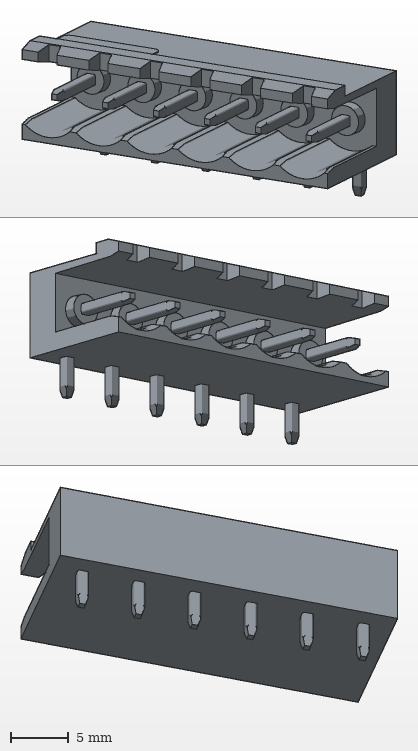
import cadquery as cq

pole_count = 6
housing_length = 30.48
pitch = housing_length / pole_count

housing_depth = 12.0
roof_height = 7.6
lip_height = 8.55
floor_height = 1.65
back_wall_front = 8.53
ceiling_back_height = 6.9
ceiling_front_height = 6.98

lip_depth = 3.05
lip_top_bevel = 1.37
lip_front_top = 8.1
lip_front_bottom = 7.22
front_bevel = 1.07
floor_front_height = 1.37

groove_radius = 3.4
groove_back_bottom = 0.88
groove_front_bottom = 0.55

notch_depth = 1.25
notch_back_width = 1.15
notch_front_width = 1.9

collar_base_radius = 1.4
collar_end_radius = 1.35
collar_length = 1.05

plate_start_x = 0.27
plate_start_y = 3.47
plate_length = 9.5
plate_width = 3.7
plate_corner_radius = 0.67
plate_thickness = 0.1

pin_width = 1.0
pin_edge_radius = 0.2
pin_tip_width = 0.55
pin_tip_length = 0.9
contact_height = 3.87
contact_tip_y = 1.2
solder_leg_y = 10.03
solder_leg_drop = 3.5

pole_positions = [(index + 0.5) * pitch for index in range(pole_count)]


def make_shell():
    """C-shaped side profile with a raised, bevelled lip, extruded along the length."""
    profile = [
        (0, 0),
        (housing_depth, 0),
        (housing_depth, roof_height),
        (lip_depth, roof_height),
        (lip_depth, lip_height),
        (lip_top_bevel, lip_height),
        (0, lip_front_top),
        (0, lip_front_bottom),
        (front_bevel, ceiling_front_height),
        (back_wall_front, ceiling_back_height),
        (back_wall_front, floor_height),
        (front_bevel, floor_height),
        (0, floor_front_height),
    ]
    return cq.Workplane("YZ").polyline(profile).close().extrude(housing_length)


def groove_section(plane, x, bottom, top):
    """Circular segment of the groove radius, from its lowest point up to a flat top."""
    rise = top - bottom
    half_width = (groove_radius**2 - (groove_radius - rise) ** 2) ** 0.5
    return (
        plane.moveTo(x - half_width, top)
        .threePointArc((x, bottom), (x + half_width, top))
        .close()
    )


def make_groove(x):
    """Round floor groove, running downhill over the front bevel."""
    back_plane = cq.Workplane("XZ", origin=(0, back_wall_front, 0))
    straight = groove_section(back_plane, x, groove_back_bottom, floor_height).extrude(
        back_wall_front - front_bevel
    )
    bevel_plane = cq.Workplane("XZ", origin=(0, front_bevel, 0))
    bevel_back = groove_section(bevel_plane, x, groove_back_bottom, floor_height)
    front_plane = bevel_back.workplane(offset=front_bevel)
    sloped = groove_section(front_plane, x, groove_front_bottom, floor_front_height).loft(ruled=True)
    return straight.union(sloped)


def make_notch(x):
    """Lip notch that widens towards the front."""
    outline = [
        (x - notch_front_width / 2, 0),
        (x + notch_front_width / 2, 0),
        (x + notch_back_width / 2, notch_depth),
        (x - notch_back_width / 2, notch_depth),
    ]
    notch_bottom = (floor_height + ceiling_back_height) / 2
    return (
        cq.Workplane("XY", origin=(0, 0, notch_bottom))
        .polyline(outline)
        .close()
        .extrude(lip_height - notch_bottom)
    )


def make_collar(x):
    """Slightly tapered collar around a contact, standing on the back wall."""
    return (
        cq.Workplane("XZ", origin=(x, back_wall_front, contact_height))
        .circle(collar_base_radius)
        .workplane(offset=collar_length)
        .circle(collar_end_radius)
        .loft()
    )


def make_plate():
    """Thin raised label plate on the roof."""
    return (
        cq.Workplane("XY", origin=(plate_start_x, plate_start_y, roof_height))
        .rect(plate_length, plate_width, centered=False)
        .extrude(plate_thickness)
        .edges("|Z")
        .fillet(plate_corner_radius)
    )


def make_leg(length):
    """Square leg with rounded edges along +Z, ending in a pyramid tip."""
    bar = (
        cq.Workplane("XY")
        .rect(pin_width, pin_width)
        .extrude(length)
        .edges("|Z")
        .fillet(pin_edge_radius)
    )
    shank_length = length - pin_tip_length
    shank = cq.Workplane("XY").rect(pin_width, pin_width).extrude(shank_length)
    tip = (
        cq.Workplane("XY", origin=(0, 0, shank_length))
        .rect(pin_width, pin_width)
        .workplane(offset=pin_tip_length)
        .rect(pin_tip_width, pin_tip_width)
        .loft()
    )
    return bar.intersect(shank.union(tip))


def make_pin(x):
    """Angled pin: a contact leg towards the front and a solder leg downwards."""
    half_width = pin_width / 2
    contact_start = solder_leg_y + half_width
    contact_leg = (
        make_leg(contact_start - contact_tip_y)
        .rotate((0, 0, 0), (1, 0, 0), 90)
        .translate((x, contact_start, contact_height))
    )
    solder_start = contact_height + half_width
    solder_leg = (
        make_leg(solder_start + solder_leg_drop)
        .rotate((0, 0, 0), (1, 0, 0), 180)
        .translate((x, solder_leg_y, solder_start))
    )
    return contact_leg.union(solder_leg)


pins = [make_pin(x) for x in pole_positions]

housing = make_shell().union(make_plate())
for x, pin in zip(pole_positions, pins):
    housing = housing.cut(make_groove(x)).cut(make_notch(x)).union(make_collar(x)).cut(pin)

result = cq.Compound.makeCompound([housing.solids().val(), *[pin.solids().val() for pin in pins]])